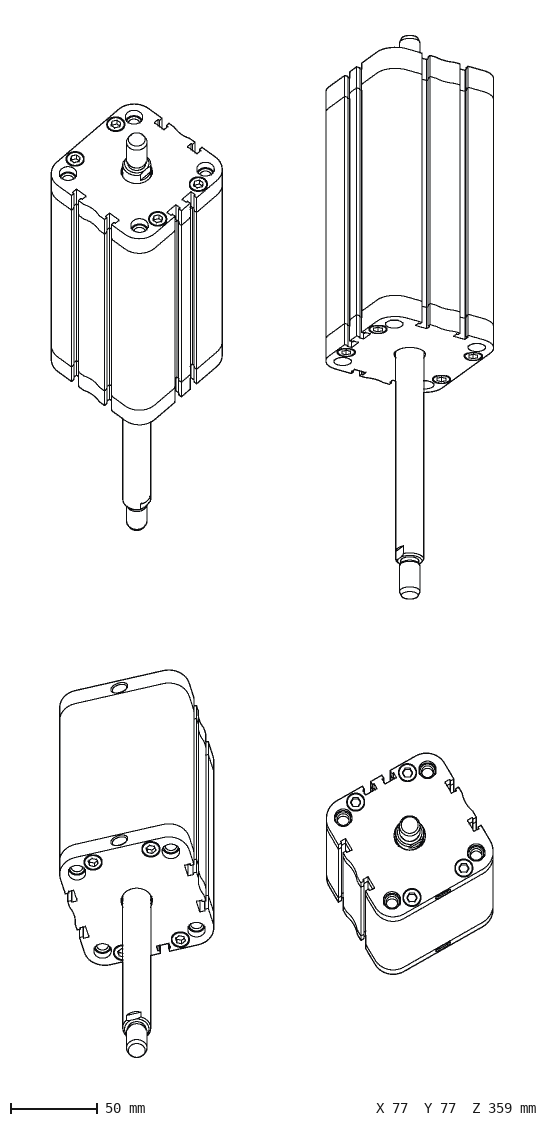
import cadquery as cq
import math

total_length = 359
side = 77.0
corner_radius = 12.2
body_length = 173.8
cap_height = 13.5
upper_reach = 29.8

slot_mouth = 5.5
slot_width = 7.5
slot_lip = 2.0
slot_depth = 5.5
end_slot_depth_in_barrel = 4.3
side_slot_offset = 13.0
end_slot_offset = 6.5

groove_width = 12.2
groove_depth = 1.0

rod_diameter = 16.0
thread_diameter = 12.0
relief_diameter = 10.5
thread_chamfer = 1.0
thread_chamfer_length = 2.5
collar_chamfer = 1.0
collar_chamfer_length = 1.0
relief_taper = 1.0
end_length = 22.3
relief_length = 3.2
flat_width = 13.5
flat_length = 6.0

rod_recess_diameter = 18
rod_recess_depth = 3.5
mount_offset = 28.0
mount_hole_diameter = 7.0
mount_bore_diameter = 10.0
mount_bore_depth = 5.0
mount_sink_diameter = 8.5
mount_sink_depth = 1.0
screw_x = 32.3
screw_y = 17.2
screw_head_diameter = 9.7
screw_ring_width = 0.5
screw_ring_depth = 0.7
socket_width = 5.0
socket_depth = 3.5
port_height = 7.5
port_diameter = 8.5
port_mouth_diameter = 10.0
port_mouth_depth = 0.7
port_depth = 10.8

half_side = side / 2
body_top = body_length
barrel_length = body_length - 2 * cap_height
rod_top = body_top + upper_reach
rod_bottom = rod_top - total_length
mount_sink_step = (mount_sink_diameter - mount_hole_diameter) / 2
sink_taper = math.degrees(math.atan2(mount_sink_step, mount_sink_depth))
groove_radius = ((groove_width / 2) ** 2 + groove_depth ** 2) / (2 * groove_depth)


def slot_cutter(offset, depth, angle, length):
    """T-slot cut into the +X face at the given Y offset, then turned about Z."""
    mouth = cq.Workplane("XY").box(2 * slot_lip, slot_mouth, length, centered=(True, True, False))
    chamber_length = depth - slot_lip
    chamber = cq.Workplane("XY").box(chamber_length, slot_width, length, centered=(True, True, False))
    cutter = mouth.union(chamber.translate((-slot_lip - chamber_length / 2, 0, 0)))
    return cutter.translate((half_side, offset, 0)).rotate((0, 0, 0), (0, 0, 1), angle)


def profile_block(length, end_slot_depth):
    """Rounded square block with all its lengthwise slots and the rod hole."""
    block = (
        cq.Workplane("XY")
        .box(side, side, length, centered=(True, True, False))
        .edges("|Z")
        .fillet(corner_radius)
    )
    for direction in (-1, 1):
        block = block.cut(slot_cutter(direction * end_slot_offset, end_slot_depth, 0, length))
        for angle in (90, -90):
            block = block.cut(slot_cutter(direction * side_slot_offset, slot_depth, angle, length))
        groove_center = direction * (half_side - groove_depth + groove_radius)
        groove = cq.Workplane("XY").center(0, groove_center).circle(groove_radius).extrude(length)
        block = block.cut(groove)
    rod_hole = cq.Workplane("XY").circle(rod_diameter / 2).extrude(length)
    return block.cut(rod_hole)


def bore_down(points, diameter, depth):
    """Round cutters sunk from the top face of a cap."""
    top = cq.Workplane("XY", origin=(0, 0, cap_height))
    return top.pushPoints(points).circle(diameter / 2).extrude(-depth)


def screw_cutter(points):
    """Ring around each flush screw head, and its hexagon socket."""
    ring_diameter = screw_head_diameter + 2 * screw_ring_width
    rings = bore_down(points, ring_diameter, screw_ring_depth)
    rings = rings.cut(bore_down(points, screw_head_diameter, screw_ring_depth))
    socket_diameter = socket_width / math.cos(math.pi / 6)
    top = cq.Workplane("XY", origin=(0, 0, cap_height))
    sockets = top.pushPoints(points).polygon(6, socket_diameter).extrude(-socket_depth)
    return rings.union(sockets)


def mount_cutter(points):
    """Counterbored holes through the cap, countersunk at the floor of the counterbore."""
    holes = bore_down(points, mount_hole_diameter, cap_height)
    bores = bore_down(points, mount_bore_diameter, mount_bore_depth)
    sinks = (
        cq.Workplane("XY", origin=(0, 0, cap_height - mount_bore_depth))
        .pushPoints(points)
        .circle(mount_sink_diameter / 2)
        .extrude(-mount_sink_depth, taper=sink_taper)
    )
    return holes.union(bores).union(sinks)


def port_cutter():
    """Air port on the -X face with a chamfered mouth."""
    bore_radius = port_diameter / 2
    return (
        cq.Workplane("XY", origin=(-half_side, 0, cap_height - port_height))
        .moveTo(0, 0)
        .lineTo(0, port_mouth_diameter / 2)
        .lineTo(port_mouth_depth, bore_radius)
        .lineTo(port_depth, bore_radius)
        .lineTo(port_depth, 0)
        .close()
        .revolve(360, (0, 0, 0), (1, 0, 0))
    )


def end_cap():
    """Cap with its outer face up, standing on Z = 0."""
    signs = [(sx, sy) for sx in (-1, 1) for sy in (-1, 1)]
    mounts = [(sx * mount_offset, sy * mount_offset) for sx, sy in signs]
    screws = [(sx * screw_x, sy * screw_y) for sx, sy in signs]
    cap = profile_block(cap_height, slot_depth)
    cap = cap.cut(bore_down([(0, 0)], rod_recess_diameter, rod_recess_depth))
    cap = cap.cut(mount_cutter(mounts))
    cap = cap.cut(screw_cutter(screws))
    return cap.cut(port_cutter())


def rod_end():
    """Collar with wrench flats, relief groove and thread, tip at Z = 0, pointing up."""
    rod_radius = rod_diameter / 2
    thread_radius = thread_diameter / 2
    relief_radius = relief_diameter / 2
    collar_base = -end_length - flat_length
    turned = (
        cq.Workplane("XZ")
        .moveTo(0, 0)
        .lineTo(thread_radius - thread_chamfer, 0)
        .lineTo(thread_radius, -thread_chamfer_length)
        .lineTo(thread_radius, relief_length - end_length)
        .lineTo(relief_radius, relief_length - relief_taper - end_length)
        .lineTo(relief_radius, -end_length)
        .lineTo(rod_radius - collar_chamfer, -end_length)
        .lineTo(rod_radius, -end_length - collar_chamfer_length)
        .lineTo(rod_radius, collar_base)
        .lineTo(0, collar_base)
        .close()
        .revolve(360, (0, 0, 0), (0, 1, 0))
    )
    between_flats = cq.Workplane("XY", origin=(0, 0, collar_base)).rect(flat_width, side)
    return turned.intersect(between_flats.extrude(end_length + flat_length))


def piston_rod():
    """Through rod with the same end at both tips."""
    shank_inset = end_length + flat_length
    shank = (
        cq.Workplane("XY", origin=(0, 0, rod_bottom + shank_inset))
        .circle(rod_diameter / 2)
        .extrude(total_length - 2 * shank_inset)
    )
    upper_end = rod_end().translate((0, 0, rod_top))
    lower_end = rod_end().mirror("XY").translate((0, 0, rod_bottom))
    return shank.union(upper_end).union(lower_end)


barrel = profile_block(barrel_length, end_slot_depth_in_barrel).translate((0, 0, cap_height))
upper_cap = end_cap().translate((0, 0, body_top - cap_height))
lower_cap = end_cap().mirror("XY").translate((0, 0, cap_height))
rod = piston_rod()

result = cq.Compound.makeCompound([barrel.val(), upper_cap.val(), lower_cap.val(), rod.val()])